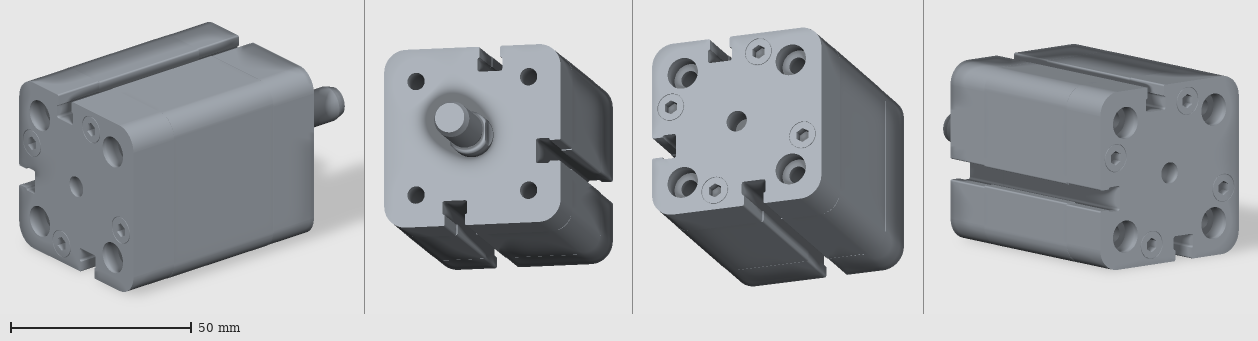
import cadquery as cq
import math

total_length = 92.5
body_length = 64.5
cap_length = 14.5

cap_size = 50.1
cap_corner_radius = 6.2
cap_neck_width = 5.8
tube_size = 50.0
tube_corner_radius = 5.8
tube_neck_width = 5.3

slot_offset = 5.0
slot_width = 7.0
slot_depth = 7.0
slot_ledge_depth = 3.05
slot_corner_radius = 0.65
slot_lip_radius = 0.5

mount_spacing = 32.0
mount_hole_diameter = 4.9
counterbore_diameter = 9.0
counterbore_depth = 5.5

center_hole_diameter = 6.0
center_hole_depth = 7.4

screw_long_offset = 19.5
screw_short_offset = 6.5
screw_head_diameter = 7.5
screw_seat_diameter = 8.0
screw_groove_depth = 0.3
socket_flats = 3.5
socket_depth = 2.8

collar_diameter = 12.0
collar_length = 5.9
collar_round = 0.9
flats_width = 10.0
flats_start = 1.5
undercut_diameter = 8.3
undercut_length = 2.6
thread_diameter = 10.0
thread_start_chamfer_length = 0.65
tip_diameter = undercut_diameter
tip_chamfer_length = 2.6


def turn(shape, step):
    """Turn a shape by quarter turns about the body axis."""
    return shape.rotate((0, 0, 0), (0, -1, 0), 90 * step)


def t_slot(length, outer_size, neck_width):
    """T-slot cutter opening towards +Z, with rounded lips at the outer face."""
    top = outer_size / 2
    floor = top - slot_depth
    ledge = top - slot_ledge_depth
    half_neck = neck_width / 2
    half_mouth = half_neck + slot_lip_radius
    arc_x = half_mouth - slot_lip_radius * math.sin(math.pi / 4)
    arc_z = top - slot_lip_radius * (1 - math.cos(math.pi / 4))
    neck = (
        cq.Workplane("XZ")
        .moveTo(-half_mouth, top)
        .threePointArc((-arc_x, arc_z), (-half_neck, top - slot_lip_radius))
        .lineTo(-half_neck, floor)
        .lineTo(half_neck, floor)
        .lineTo(half_neck, top - slot_lip_radius)
        .threePointArc((arc_x, arc_z), (half_mouth, top))
        .close()
        .extrude(-length)
    )
    chamber = (
        cq.Workplane("XZ")
        .center(0, (floor + ledge) / 2)
        .rect(slot_width, ledge - floor)
        .extrude(-length)
        .edges("|Y")
        .fillet(slot_corner_radius)
    )
    return neck.union(chamber).translate((-slot_offset, 0, 0))


def body_section(start, length, size, corner_radius, neck_width):
    """Length of rounded square bar with T-slots on the top, -X and bottom sides."""
    section = cq.Workplane("XZ").rect(size, size).extrude(-length).edges("|Y").fillet(corner_radius)
    slot = t_slot(length, size, neck_width)
    for step in range(3):
        section = section.cut(turn(slot, step))
    return section.translate((0, start, 0))


def body():
    """Tube between two slightly larger end caps."""
    tube_length = body_length - 2 * cap_length
    front_cap_start = body_length - cap_length
    rear_cap = body_section(0, cap_length, cap_size, cap_corner_radius, cap_neck_width)
    tube = body_section(cap_length, tube_length, tube_size, tube_corner_radius, tube_neck_width)
    front_cap = body_section(front_cap_start, cap_length, cap_size, cap_corner_radius, cap_neck_width)
    return rear_cap.union(tube).union(front_cap)


def mounting_holes():
    """Through holes with counterbores in the rear face."""
    corners = cq.Workplane("XZ").rect(mount_spacing, mount_spacing, forConstruction=True).vertices()
    through = corners.circle(mount_hole_diameter / 2).extrude(-body_length)
    counterbores = corners.circle(counterbore_diameter / 2).extrude(-counterbore_depth)
    return through.union(counterbores)


def center_hole():
    return cq.Workplane("XZ").circle(center_hole_diameter / 2).extrude(-center_hole_depth)


def screw_grooves():
    """Thin ring grooves around the four screw heads."""
    groove = (
        cq.Workplane("XZ")
        .center(-screw_long_offset, screw_short_offset)
        .circle(screw_seat_diameter / 2)
        .circle(screw_head_diameter / 2)
        .extrude(-screw_groove_depth)
    )
    grooves = groove
    for step in range(1, 4):
        grooves = grooves.union(turn(groove, step))
    return grooves


def screw_sockets():
    """Hexagon sockets in the four screw heads, all with two flats parallel to Z."""
    centers = [
        (-screw_long_offset, screw_short_offset),
        (-screw_short_offset, -screw_long_offset),
        (screw_long_offset, -screw_short_offset),
        (screw_short_offset, screw_long_offset),
    ]
    socket_radius = socket_flats / math.sqrt(3)
    hexagon = [
        (socket_radius * math.sin(math.pi / 3 * corner), socket_radius * math.cos(math.pi / 3 * corner))
        for corner in range(6)
    ]
    socket = cq.Workplane("XZ").polyline(hexagon).close().extrude(-socket_depth)
    sockets = cq.Workplane("XZ")
    for x, z in centers:
        sockets = sockets.add(socket.translate((x, 0, z)))
    return sockets.combine()


def rod():
    """Turned rod end rising from the front face, with two wrench flats on the collar."""
    collar_end = body_length + collar_length
    thread_start = collar_end + undercut_length
    collar_radius = collar_diameter / 2
    undercut_radius = undercut_diameter / 2
    thread_radius = thread_diameter / 2
    turned = (
        cq.Workplane("XY")
        .moveTo(0, body_length)
        .lineTo(collar_radius, body_length)
        .lineTo(collar_radius, collar_end - collar_round)
        .radiusArc((collar_radius - collar_round, collar_end), -collar_round)
        .lineTo(undercut_radius, collar_end)
        .lineTo(undercut_radius, thread_start)
        .lineTo(thread_radius, thread_start + thread_start_chamfer_length)
        .lineTo(thread_radius, total_length - tip_chamfer_length)
        .lineTo(tip_diameter / 2, total_length)
        .lineTo(0, total_length)
        .close()
        .revolve(360, (0, 0, 0), (0, 1, 0))
    )
    half_flats = flats_width / 2
    flat_start = body_length + flats_start
    runout = collar_radius - half_flats
    for side in (-1, 1):
        flat = (
            cq.Workplane("XY")
            .moveTo(side * half_flats, flat_start)
            .lineTo(side * collar_radius, flat_start - runout)
            .lineTo(side * collar_radius, collar_end)
            .lineTo(side * half_flats, collar_end)
            .close()
            .extrude(collar_radius, both=True)
        )
        turned = turned.cut(flat)
    return turned


result = (
    body()
    .union(rod())
    .cut(mounting_holes())
    .cut(center_hole())
    .cut(screw_grooves())
    .cut(screw_sockets())
)